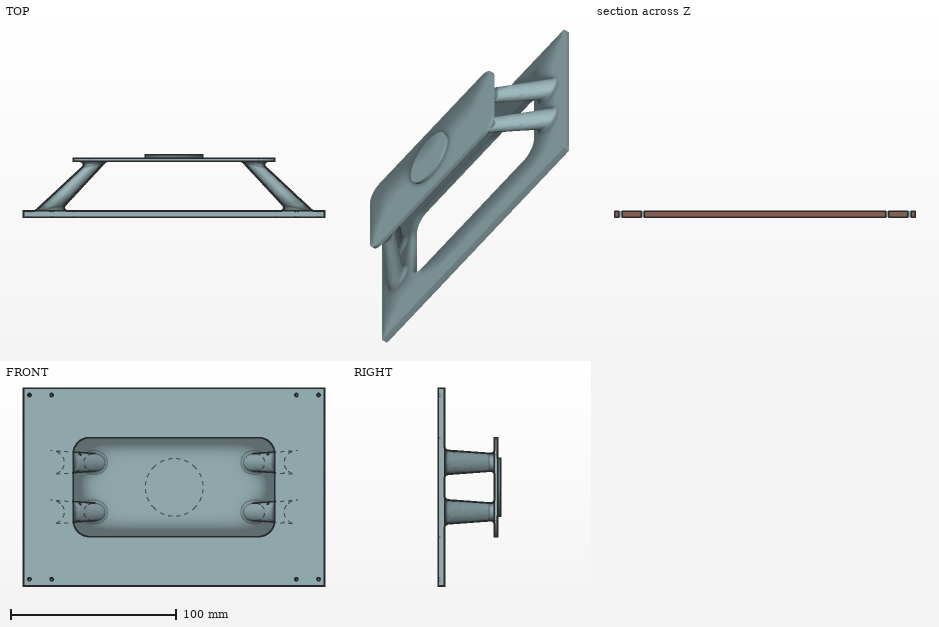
import cadquery as cq

plate_length = 182.22
plate_height = 119.77
plate_thickness = 4.0

window_length = 122.0
window_height = 60.0
window_corner_radius = 10.0

plate_gap = 30.0
rear_thickness = 2.0
pad_diameter = 35.0
pad_thickness = 2.0

hole_diameter = 1.59
hole_outer_x = 87.5
hole_inner_x = 74.1
hole_z = 55.75

strut_front_x = 76.5
strut_rear_x = strut_front_x - plate_gap
strut_z = 15.0
strut_front_diameter = 14.8
strut_rear_diameter = 10.4
strut_fillet = 2.0
match_tolerance = 0.01

rear_plate_y = plate_thickness + plate_gap
pad_y = rear_plate_y + rear_thickness


def xz_plane(y):
    """Sketch plane at the given y, with local x and y along X and Z; extrude negative to go along +Y."""
    return cq.Workplane(cq.Plane(origin=(0, y, 0), xDir=(1, 0, 0), normal=(0, -1, 0)))


def rounded_panel(y, thickness):
    panel = xz_plane(y).rect(window_length, window_height).extrude(-thickness)
    return panel.edges("|Y").fillet(window_corner_radius)


def front_plate():
    plate = xz_plane(0).rect(plate_length, plate_height).extrude(-plate_thickness)
    hole_places = [
        (side * x, level * hole_z)
        for side in (-1, 1)
        for level in (-1, 1)
        for x in (hole_outer_x, hole_inner_x)
    ]
    holes = xz_plane(0).pushPoints(hole_places).circle(hole_diameter / 2).extrude(-plate_thickness)
    return plate.cut(rounded_panel(0, plate_thickness)).cut(holes)


def rear_plate():
    pad = xz_plane(pad_y).circle(pad_diameter / 2).extrude(-pad_thickness)
    return rounded_panel(rear_plate_y, rear_thickness).union(pad)


def section_wire(x, y, z, diameter):
    return cq.Wire.makeCircle(diameter / 2, cq.Vector(x, y, z), cq.Vector(0, 1, 0))


def strut(side, level):
    z = level * strut_z
    front_end = section_wire(side * strut_front_x, plate_thickness, z, strut_front_diameter)
    rear_end = section_wire(side * strut_rear_x, rear_plate_y, z, strut_rear_diameter)
    return cq.Workplane(cq.Solid.makeLoft([front_end, rear_end], True))


def strut_end_edges(body):
    """Select the circles where the struts meet the inner faces of the two plates."""
    end_diameters = {plate_thickness: strut_front_diameter, rear_plate_y: strut_rear_diameter}

    def is_strut_end(edge):
        box = edge.BoundingBox()
        return any(
            max(abs(box.ymin - y), abs(box.ymax - y), abs(box.zlen - diameter)) < match_tolerance
            for y, diameter in end_diameters.items()
        )

    return body.edges().filter(is_strut_end)


result = front_plate().union(rear_plate())
for side in (-1, 1):
    for level in (-1, 1):
        result = result.union(strut(side, level))
result = strut_end_edges(result).fillet(strut_fillet)